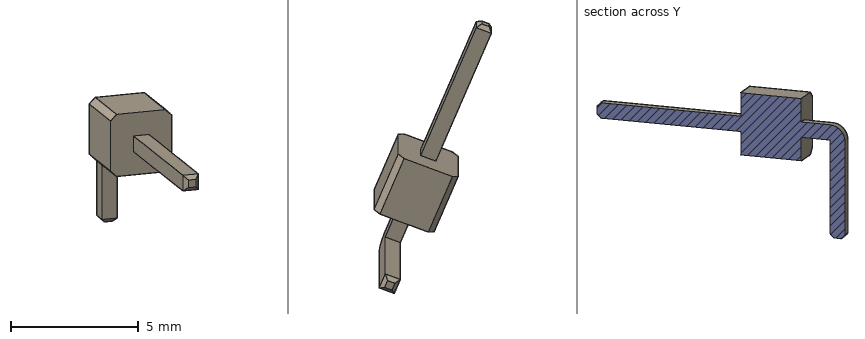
import cadquery as cq

overall_length = 10.36
overall_height = 5.54
body_size = 2.54
body_start = 1.82
body_chamfer = 0.25
pin_width = 0.64
tip_chamfer = 0.17

half_pin = pin_width / 2
leg_bottom = body_size / 2 - overall_height


def make_body():
    """Cubic housing with its four edges along the pin chamfered."""
    block = cq.Workplane("YZ", origin=(body_start, 0, 0)).rect(body_size, body_size).extrude(body_size)
    return block.edges("|X").chamfer(body_chamfer)


def make_bent_pin():
    """Square pin with a rounded outer bend, a sharp inner corner and chamfered tips."""
    bar = cq.Workplane("XY").box(overall_length, pin_width, pin_width, centered=(False, True, True))
    leg = (
        cq.Workplane("XY", origin=(0, 0, leg_bottom))
        .box(pin_width, pin_width, half_pin - leg_bottom, centered=(False, True, False))
    )
    outer_corner = cq.selectors.NearestToPointSelector((0, 0, half_pin))
    pin = bar.union(leg).edges("|Y").edges(outer_corner).fillet(pin_width)
    pin = pin.faces(">X").chamfer(tip_chamfer)
    return pin.faces("<Z").chamfer(tip_chamfer)


result = make_bent_pin().union(make_body())